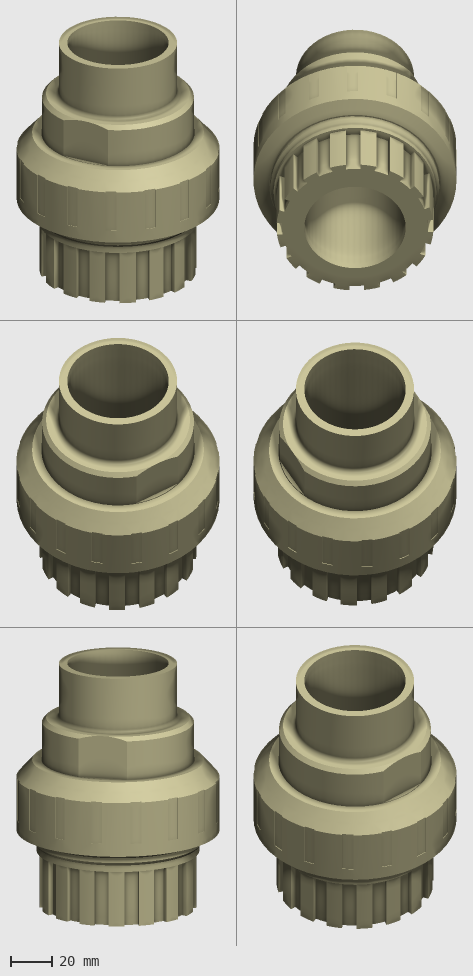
import cadquery as cq

HEIGHT = 121.5
SOCKET_BAND_Z = 27.7
THREAD_CHAMFER_BOTTOM_Z = 31.0
THREAD_CHAMFER_TOP_Z = 32.6
NUT_BOTTOM_Z = 35.2
NUT_LOWER_EDGE_Z = 38.0
GRIP_BOTTOM_Z = 44.3
SEAT_Z = 55.9
LIP_UNDERSIDE_Z = 63.2
NUT_UPPER_EDGE_Z = 64.9
NUT_TOP_Z = 73.3
COLLAR_TOP_Z = 94.3

BORE_D = 49.0
SPIGOT_D = 57.1
COLLAR_D = 73.4
NUT_BORE_D = 74.1
SOCKET_FLOOR_D = 70.5
SOCKET_RIB_D = 75.8
SOCKET_BAND_D = 78.6
THREAD_D = 81.5
NUT_FACE_D = 83.0
GRIP_FLOOR_D = 97.5
NUT_D = 98.0

GRIP_COUNT = 16
GRIP_WIDTH = 5.3
SLOT_COUNT = 16
SLOT_WIDTH = 7.0
FLAT_DISTANCE = 69.4
COLLAR_CHAMFER = 2.0
SPIGOT_ROOT_R = 1.8


def cylinder(diameter, bottom, top):
    return cq.Workplane("XY").workplane(offset=bottom).circle(diameter / 2).extrude(top - bottom)


def tube(outer_d, inner_d, bottom, top):
    return cylinder(outer_d, bottom, top).cut(cylinder(inner_d, bottom, top))


def cone(bottom_d, bottom, top_d, top):
    return (
        cq.Workplane("XY")
        .workplane(offset=bottom)
        .circle(bottom_d / 2)
        .workplane(offset=top - bottom)
        .circle(top_d / 2)
        .loft()
    )


def radial_bars(count, width, length, bottom, top):
    """Bars that run outward from the axis along +X and its equally spaced copies."""
    bar = (
        cq.Workplane("XY")
        .workplane(offset=bottom)
        .center(length / 2, 0)
        .rect(length, width)
        .extrude(top - bottom)
    )
    bars = []
    for i in range(count):
        bars.append(bar.rotate((0, 0, 0), (0, 0, 1), i * 360 / count))
    return bars


def make_socket_body():
    """Threaded lower half, with a slotted outside around its socket."""
    body = cylinder(SOCKET_RIB_D, 0, SOCKET_BAND_Z)
    ring = tube(SOCKET_RIB_D, SOCKET_FLOOR_D, 0, SOCKET_BAND_Z)
    for bar in radial_bars(SLOT_COUNT, SLOT_WIDTH, SOCKET_RIB_D, 0, SOCKET_BAND_Z):
        body = body.cut(ring.intersect(bar))
    body = body.union(cylinder(SOCKET_BAND_D, SOCKET_BAND_Z, THREAD_CHAMFER_BOTTOM_Z))
    body = body.union(cone(SOCKET_BAND_D, THREAD_CHAMFER_BOTTOM_Z, THREAD_D, THREAD_CHAMFER_TOP_Z))
    body = body.union(cylinder(THREAD_D, THREAD_CHAMFER_TOP_Z, SEAT_Z))
    return body.cut(cylinder(BORE_D, 0, SEAT_Z))


def make_spigot_body():
    """Upper half: plain spigot, collar with two wrench flats, flange under the nut's lip."""
    bore_r = BORE_D / 2
    spigot_r = SPIGOT_D / 2
    collar_r = COLLAR_D / 2
    flange_r = THREAD_D / 2
    body = (
        cq.Workplane("XZ")
        .moveTo(bore_r, SEAT_Z)
        .lineTo(flange_r, SEAT_Z)
        .lineTo(flange_r, LIP_UNDERSIDE_Z)
        .lineTo(collar_r, LIP_UNDERSIDE_Z)
        .lineTo(collar_r, COLLAR_TOP_Z - COLLAR_CHAMFER)
        .lineTo(collar_r - COLLAR_CHAMFER, COLLAR_TOP_Z)
        .lineTo(spigot_r + SPIGOT_ROOT_R, COLLAR_TOP_Z)
        .radiusArc((spigot_r, COLLAR_TOP_Z + SPIGOT_ROOT_R), SPIGOT_ROOT_R)
        .lineTo(spigot_r, HEIGHT)
        .lineTo(bore_r, HEIGHT)
        .close()
        .revolve(360, (0, 0, 0), (0, 1, 0))
    )
    wrench_zone = cylinder(2 * COLLAR_D, NUT_TOP_Z, COLLAR_TOP_Z)
    between_flats = (
        cq.Workplane("XY")
        .workplane(offset=NUT_TOP_Z)
        .rect(2 * COLLAR_D, FLAT_DISTANCE)
        .extrude(COLLAR_TOP_Z - NUT_TOP_Z)
    )
    return body.cut(wrench_zone.cut(between_flats))


def make_nut():
    """Union nut: tapered ends, shallow grip grooves around the outside, inner lip at the top."""
    nut = cone(NUT_FACE_D, NUT_BOTTOM_Z, NUT_D, NUT_LOWER_EDGE_Z)
    nut = nut.union(cylinder(NUT_D, NUT_LOWER_EDGE_Z, NUT_UPPER_EDGE_Z))
    nut = nut.union(cone(NUT_D, NUT_UPPER_EDGE_Z, NUT_FACE_D, NUT_TOP_Z))
    grip_ring = tube(2 * NUT_D, GRIP_FLOOR_D, GRIP_BOTTOM_Z, NUT_TOP_Z)
    for bar in radial_bars(GRIP_COUNT, GRIP_WIDTH, NUT_D, GRIP_BOTTOM_Z, NUT_TOP_Z):
        nut = nut.cut(grip_ring.intersect(bar))
    nut = nut.cut(cylinder(THREAD_D, NUT_BOTTOM_Z, LIP_UNDERSIDE_Z))
    return nut.cut(cylinder(NUT_BORE_D, LIP_UNDERSIDE_Z, NUT_TOP_Z))


socket_body = make_socket_body()
spigot_body = make_spigot_body()
nut = make_nut()

result = cq.Compound.makeCompound([socket_body.val(), spigot_body.val(), nut.val()])